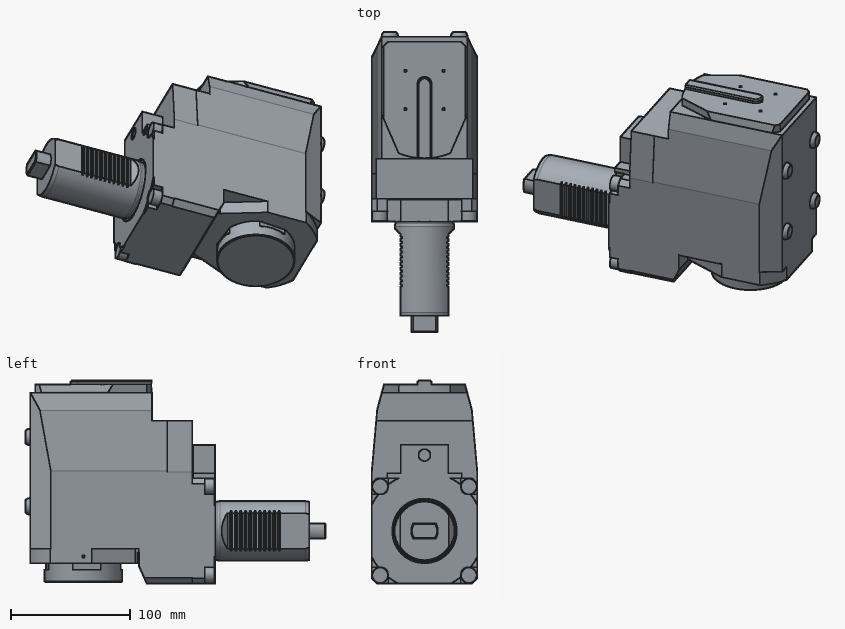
import math

import cadquery as cq


HALF_WIDTH = 44.0
BOTTOM_Z = -HALF_WIDTH
STEP_Z = 91.9
BODY_TOP_Z = 115.3
PLATE_TOP_Z = 122.2
KEY_TOP_Z = 125.5
HEAD_BOTTOM_Z = -27.0
SKIRT_TOP_Z = -14.7

FLANGE_BACK_Y = 19.0
SEAM_Y = 40.0
UPPER_FRONT_Y = 52.5
LEG_BACK_Y = 63.5
SKIRT_FRONT_Y = 64.7
SPINDLE_Y = 109.8
BODY_BACK_Y = 154.3

SIDE_TAPER = 5.0
SHOULDER_TAPER = 15.0
SHOULDER_Z = 100.8
BODY_TAPER_Z = 50.2
COVER_TAPER_Z = 49.4
BOTTOM_CHAMFER = 5.0

LEG_SLOPE_RISE = 14.5
LEG_SLOPE_RUN = 6.5
REAR_CHAMFER_X = 8.4
REAR_CHAMFER_Y = 17.3
SKIRT_RADIUS = 52.0
SLOT_TOP_Z = -18.0
SKIRT_TRIM_BACK_Y = 102.9
SKIRT_TRIM_FRONT_Y = 66.6
SKIRT_TRIM_ANGLE = 24.0

PLATE_BACK_Y = 150.0
PLATE_BACK_CHAMFER = 5.0
PLATE_WIDE_HALF = 35.5
PLATE_SHOULDER_Y = 89.0
PLATE_TIP_HALF = 21.5
PLATE_FRONT_RADIUS = 57.0
KEY_WIDTH = 12.0
KEY_BACK_Y = 120.7
KEY_CHAMFER = 1.3
MARK_DIAMETER = 2.1
MARK_OFFSET = 16.0
MARK_DEPTH = 2.0
SIDE_MARK_Z = -21.3

FLANGE_CHAMFER = 4.5
FACE_DISC_RADIUS = 49.0
FACE_RELIEF = 0.8
BOLT_OFFSET = 37.0
BOLT_HEAD_DIAMETER = 13.0
BOLT_SEAT_Y = 8.5
NOTCH_INNER = 30.4
NOTCH_CORNER_RADIUS = 6.0
FACE_GROOVE_DIAMETER = 54.0
FACE_GROOVE_FLOOR_DIAMETER = 52.2
FACE_GROOVE_DEPTH = 1.0

BLOCK_BACK_Y = 18.3
BLOCK_FOOT_WIDTH = 62.0
BLOCK_FOOT_TOP_Z = 48.0
BLOCK_WIDTH = 39.4
BLOCK_TOP_Z = 71.7
BLOCK_HOLE_DIAMETER = 10.0
BLOCK_HOLE_Z = 63.2
BLOCK_HOLE_DEPTH = 1.0

SHANK_DIAMETER = 50.0
SHANK_NECK_DIAMETER = 48.7
SHANK_LENGTH = 78.6
NECK_LENGTH = 1.3
NECK_TAPER_LENGTH = 2.4
END_TAPER_LENGTH = 3.2
FLAT_DISTANCE = 20.1
FLAT_START_Y = -10.4
TOOTH_COUNT = 11
TOOTH_PITCH = 4.0
TOOTH_DEPTH = 1.4
TOOTH_ROOT_WIDTH = 0.6
TOOTH_FLANK_ANGLE = 30.0
FIRST_TOOTH_Y = -13.4

TANG_END_Y = -92.2
TANG_DIAMETER = 22.5
TANG_THICKNESS = 12.7
TANG_CHAMFER = 0.8

NUT_DIAMETER = 65.0
NUT_BOTTOM_Z = -42.7
NUT_CHAMFER = 0.8
NUT_FLATS = 60.6
NUT_FLATS_BOTTOM_Z = -32.2
NUT_TURN = 5.3
SCREW_HEAD_DIAMETER = 14.0
SCREW_CROWN_DIAMETER = 10.0
SCREW_HEAD_HEIGHT = 3.9
SCREW_BULGE = 0.4
SCREW_X = 28.9
SCREW_LOWER_Z = 20.5


def tan_deg(angle):
    return math.tan(math.radians(angle))


def box_between(x_range, y_range, z_range):
    """Axis-aligned box given by its limits along each axis."""
    size = [high - low for low, high in (x_range, y_range, z_range)]
    start = (x_range[0], y_range[0], z_range[0])
    return cq.Workplane("XY").box(*size, centered=False).translate(start)


def xz_plane(y):
    """XZ sketch plane at the given Y, whose extrusions run towards -Y."""
    return cq.Workplane("XZ", origin=(0, y, 0))


def xy_plane(z):
    return cq.Workplane("XY", origin=(0, 0, z))


def both_sides(solid):
    return solid.union(solid.mirror("YZ"))


def mirrored_outline(plane, right_half):
    """Closed polygon from its right half, listed bottom to top."""
    left_half = [(-x, z) for x, z in reversed(right_half)]
    return plane.polyline(right_half + left_half).close()


def tapered_section(front_y, back_y, taper_z, top_z):
    """Stretch of body along Y whose cross section narrows upwards from taper_z."""
    shoulder_half = HALF_WIDTH - (SHOULDER_Z - BODY_TAPER_Z) * tan_deg(SIDE_TAPER)
    half = [
        (HALF_WIDTH - BOTTOM_CHAMFER, BOTTOM_Z),
        (HALF_WIDTH, BOTTOM_Z + BOTTOM_CHAMFER),
        (HALF_WIDTH, taper_z),
    ]
    if top_z > SHOULDER_Z:
        half.append((shoulder_half, SHOULDER_Z))
        half.append((shoulder_half - (top_z - SHOULDER_Z) * tan_deg(SHOULDER_TAPER), top_z))
    else:
        half.append((HALF_WIDTH - (top_z - taper_z) * tan_deg(SIDE_TAPER), top_z))
    return mirrored_outline(xz_plane(back_y), half).extrude(back_y - front_y)


def skirt_trim():
    """Corner piece removed from the +X front of the skirt around the spindle."""
    run = SKIRT_TRIM_BACK_Y - SKIRT_TRIM_FRONT_Y
    inner_x = HALF_WIDTH - run * tan_deg(SKIRT_TRIM_ANGLE)
    outline = [
        (HALF_WIDTH, SKIRT_TRIM_BACK_Y),
        (inner_x, SKIRT_TRIM_FRONT_Y),
        (inner_x, LEG_BACK_Y),
        (HALF_WIDTH, LEG_BACK_Y),
    ]
    return xy_plane(HEAD_BOTTOM_Z).polyline(outline).close().extrude(SKIRT_TOP_Z - HEAD_BOTTOM_Z)


def rear_round():
    """Material outside the round rear end of the skirt."""
    outer = box_between(
        (-HALF_WIDTH, HALF_WIDTH), (SPINDLE_Y, BODY_BACK_Y), (HEAD_BOTTOM_Z, SKIRT_TOP_Z)
    )
    disc = xy_plane(HEAD_BOTTOM_Z).center(0, SPINDLE_Y).circle(SKIRT_RADIUS)
    return outer.cut(disc.extrude(SKIRT_TOP_Z - HEAD_BOTTOM_Z))


def make_body():
    front = tapered_section(SEAM_Y, UPPER_FRONT_Y, BODY_TAPER_Z, STEP_Z)
    head = tapered_section(UPPER_FRONT_Y, BODY_BACK_Y, BODY_TAPER_Z, BODY_TOP_Z)
    cover = tapered_section(FLANGE_BACK_Y, SEAM_Y, COVER_TAPER_Z, STEP_Z)

    under_head = [
        (LEG_BACK_Y - LEG_SLOPE_RUN, BOTTOM_Z),
        (LEG_BACK_Y, BOTTOM_Z + LEG_SLOPE_RISE),
        (LEG_BACK_Y, SLOT_TOP_Z),
        (SKIRT_FRONT_Y, SLOT_TOP_Z),
        (SKIRT_FRONT_Y, HEAD_BOTTOM_Z),
        (BODY_BACK_Y, HEAD_BOTTOM_Z),
        (BODY_BACK_Y, BOTTOM_Z),
    ]
    clearance = cq.Workplane("YZ").polyline(under_head).close().extrude(HALF_WIDTH, both=True)

    rear_corner = [
        (HALF_WIDTH, BODY_BACK_Y),
        (HALF_WIDTH, BODY_BACK_Y - REAR_CHAMFER_Y),
        (HALF_WIDTH - REAR_CHAMFER_X, BODY_BACK_Y),
    ]
    corner = xy_plane(SKIRT_TOP_Z).polyline(rear_corner).close().extrude(BODY_TOP_Z - SKIRT_TOP_Z)

    body = cover.union(front).union(head).cut(clearance)
    body = body.cut(both_sides(corner)).cut(both_sides(skirt_trim())).cut(rear_round())
    side_mark = cq.Workplane("YZ", origin=(-HALF_WIDTH, SPINDLE_Y, SIDE_MARK_Z))
    return body.cut(side_mark.circle(MARK_DIAMETER / 2).extrude(MARK_DEPTH))


def make_top_plate():
    tip_y = SPINDLE_Y - math.sqrt(PLATE_FRONT_RADIUS**2 - PLATE_TIP_HALF**2)
    side_back_y = PLATE_BACK_Y - PLATE_BACK_CHAMFER
    back_half = PLATE_WIDE_HALF - PLATE_BACK_CHAMFER
    outline = (
        xy_plane(BODY_TOP_Z)
        .moveTo(-PLATE_TIP_HALF, tip_y)
        .threePointArc((0, SPINDLE_Y - PLATE_FRONT_RADIUS), (PLATE_TIP_HALF, tip_y))
        .lineTo(PLATE_WIDE_HALF, PLATE_SHOULDER_Y)
        .lineTo(PLATE_WIDE_HALF, side_back_y)
        .lineTo(back_half, PLATE_BACK_Y)
        .lineTo(-back_half, PLATE_BACK_Y)
        .lineTo(-PLATE_WIDE_HALF, side_back_y)
        .lineTo(-PLATE_WIDE_HALF, PLATE_SHOULDER_Y)
        .close()
    )
    plate = outline.extrude(PLATE_TOP_Z - BODY_TOP_Z)
    plate = plate.intersect(tapered_section(0, BODY_BACK_Y, BODY_TAPER_Z, PLATE_TOP_Z))
    marks = (
        xy_plane(PLATE_TOP_Z)
        .center(0, SPINDLE_Y)
        .rect(2 * MARK_OFFSET, 2 * MARK_OFFSET, forConstruction=True)
        .vertices()
        .circle(MARK_DIAMETER / 2)
        .extrude(-MARK_DEPTH)
    )
    return plate.cut(marks)


def make_key():
    """Raised key with a round rear end and a front end flush with the plate."""
    half = KEY_WIDTH / 2
    round_y = KEY_BACK_Y - half
    front_y = SPINDLE_Y - PLATE_FRONT_RADIUS
    height = KEY_TOP_Z - PLATE_TOP_Z
    key = (
        xy_plane(PLATE_TOP_Z)
        .moveTo(-half, front_y)
        .lineTo(half, front_y)
        .lineTo(half, round_y)
        .threePointArc((0, KEY_BACK_Y), (-half, round_y))
        .close()
        .extrude(height)
        .faces(">Z")
        .edges("not <Y")
        .chamfer(KEY_CHAMFER)
    )
    end = xy_plane(PLATE_TOP_Z).center(0, SPINDLE_Y).circle(PLATE_FRONT_RADIUS).extrude(height)
    return key.intersect(end)


def bolt_corners(plane):
    return plane.rect(2 * BOLT_OFFSET, 2 * BOLT_OFFSET, forConstruction=True).vertices()


def face_groove():
    """Groove around the shank in the flange face, with a conical outer wall."""
    profile = [
        (SHANK_NECK_DIAMETER / 2, 0),
        (FACE_GROOVE_DIAMETER / 2, 0),
        (FACE_GROOVE_FLOOR_DIAMETER / 2, FACE_GROOVE_DEPTH),
        (SHANK_NECK_DIAMETER / 2, FACE_GROOVE_DEPTH),
    ]
    return cq.Workplane("XY").polyline(profile).close().revolve(360, (0, 0, 0), (0, 1, 0))


def make_flange():
    size = 2 * HALF_WIDTH
    block = xz_plane(FLANGE_BACK_Y).rect(size, size).extrude(FLANGE_BACK_Y)
    block = block.edges("|Y").chamfer(FLANGE_CHAMFER)
    disc = xz_plane(FACE_RELIEF).circle(FACE_DISC_RADIUS).extrude(FACE_RELIEF)
    relief = xz_plane(FACE_RELIEF).rect(size, size).extrude(FACE_RELIEF).cut(disc)

    notch_size = 2 * (BOLT_OFFSET - NOTCH_INNER) + HALF_WIDTH
    notch_centre = NOTCH_INNER + notch_size / 2
    notches = (
        xz_plane(BOLT_SEAT_Y)
        .rect(2 * notch_centre, 2 * notch_centre, forConstruction=True)
        .vertices()
        .rect(notch_size, notch_size)
        .extrude(BOLT_SEAT_Y)
        .edges("|Y")
        .fillet(NOTCH_CORNER_RADIUS)
    )
    bolts = bolt_corners(xz_plane(BOLT_SEAT_Y)).circle(BOLT_HEAD_DIAMETER / 2)
    bolts = bolts.extrude(BOLT_SEAT_Y - FACE_RELIEF)
    return block.cut(relief).cut(face_groove()).cut(notches).union(bolts)


def make_locating_block():
    half_foot = BLOCK_FOOT_WIDTH / 2
    half_block = BLOCK_WIDTH / 2
    foot_bottom_z = HALF_WIDTH
    foot = box_between(
        (-half_foot, half_foot), (0, BLOCK_BACK_Y), (foot_bottom_z, BLOCK_FOOT_TOP_Z)
    )
    block = box_between(
        (-half_block, half_block), (0, BLOCK_BACK_Y), (foot_bottom_z, BLOCK_TOP_Z)
    )
    hole = xz_plane(BLOCK_HOLE_DEPTH).center(0, BLOCK_HOLE_Z).circle(BLOCK_HOLE_DIAMETER / 2)
    return foot.union(block).cut(hole.extrude(BLOCK_HOLE_DEPTH))


def shank_flat_cut():
    """Toothed clamping flat on the +X side, with a 45 degree run-out at the flange."""
    outer_x = SHANK_DIAMETER
    root_x = FLAT_DISTANCE - TOOTH_DEPTH
    root_half = TOOTH_ROOT_WIDTH / 2
    mouth_half = root_half + TOOTH_DEPTH * tan_deg(TOOTH_FLANK_ANGLE)
    points = [
        (outer_x, FLAT_START_Y + outer_x - FLAT_DISTANCE),
        (FLAT_DISTANCE, FLAT_START_Y),
    ]
    for index in range(TOOTH_COUNT):
        y = FIRST_TOOTH_Y - index * TOOTH_PITCH
        points += [
            (FLAT_DISTANCE, y + mouth_half),
            (root_x, y + root_half),
            (root_x, y - root_half),
            (FLAT_DISTANCE, y - mouth_half),
        ]
    points += [(FLAT_DISTANCE, -SHANK_LENGTH), (outer_x, -SHANK_LENGTH)]
    return cq.Workplane("XY").polyline(points).close().extrude(SHANK_DIAMETER, both=True)


def make_shank():
    radius = SHANK_DIAMETER / 2
    neck = SHANK_NECK_DIAMETER / 2
    profile = [
        (0, FACE_GROOVE_DEPTH),
        (neck, FACE_GROOVE_DEPTH),
        (neck, -NECK_LENGTH),
        (radius, -NECK_LENGTH - NECK_TAPER_LENGTH),
        (radius, END_TAPER_LENGTH - SHANK_LENGTH),
        (neck, -SHANK_LENGTH),
        (0, -SHANK_LENGTH),
    ]
    shank = cq.Workplane("XY").polyline(profile).close().revolve(360, (0, 0, 0), (0, 1, 0))
    return shank.cut(both_sides(shank_flat_cut()))


def make_tang():
    length = -TANG_END_Y - SHANK_LENGTH
    start = xz_plane(-SHANK_LENGTH)
    round_bar = start.circle(TANG_DIAMETER / 2).extrude(length)
    flat_bar = start.rect(TANG_DIAMETER, TANG_THICKNESS).extrude(length)
    return round_bar.intersect(flat_bar).faces("<Y").chamfer(TANG_CHAMFER)


def make_spindle_nut():
    height = HEAD_BOTTOM_Z - NUT_BOTTOM_Z
    nut = xy_plane(NUT_BOTTOM_Z).circle(NUT_DIAMETER / 2).extrude(height)
    nut = nut.faces("<Z").chamfer(NUT_CHAMFER)
    flats_height = HEAD_BOTTOM_Z - NUT_FLATS_BOTTOM_Z
    ring = xy_plane(NUT_FLATS_BOTTOM_Z).circle(NUT_DIAMETER).rect(NUT_FLATS, NUT_FLATS)
    nut = nut.cut(ring.extrude(flats_height))
    return nut.rotate((0, 0, 0), (0, 0, 1), NUT_TURN).translate((0, SPINDLE_Y, 0))


def make_rear_screw(x, z):
    """Domed screw head standing on the rear face."""
    head_radius = SCREW_HEAD_DIAMETER / 2
    crown_radius = SCREW_CROWN_DIAMETER / 2
    middle = ((head_radius + crown_radius) / 2 + SCREW_BULGE, SCREW_HEAD_HEIGHT / 2 + SCREW_BULGE)
    head = (
        cq.Workplane("XY")
        .lineTo(head_radius, 0)
        .threePointArc(middle, (crown_radius, SCREW_HEAD_HEIGHT))
        .lineTo(0, SCREW_HEAD_HEIGHT)
        .close()
        .revolve(360, (0, 0, 0), (0, 1, 0))
    )
    return head.translate((x, BODY_BACK_Y, z))


result = make_body()
for feature in (
    make_top_plate(),
    make_key(),
    make_flange(),
    make_locating_block(),
    make_shank(),
    make_tang(),
    make_spindle_nut(),
):
    result = result.union(feature)
for screw_x in (-SCREW_X, SCREW_X):
    for screw_z in (SCREW_LOWER_Z, SCREW_LOWER_Z + 2 * SCREW_X):
        result = result.union(make_rear_screw(screw_x, screw_z))